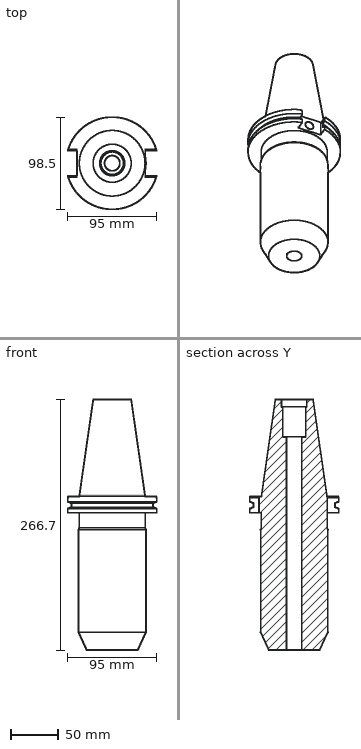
import cadquery as cq

total_height = 266.7
gauge_height = 165.0
flange_top = 163.5
flange_bottom = 146.0
neck_bottom = 130.0
body_top = 128.3
nose_height = 19.2

nose_radius = 27.2
body_radius = 36.0
neck_radius = 35.2
flange_diameter = 98.5
flange_radius = flange_diameter / 2
groove_radius = 45.3
taper_base_radius = 35.0
taper_tip_radius = 20.3

groove_middle = 154.2
groove_mouth = 7.2
groove_floor = 4.0

bore_radius = 8.0
thread_radius = 12.0
thread_depth = 40.0
pilot_radius = 13.3
pilot_depth = 8.0

slot_width = 26.1
slot_chamfer = 1.5
left_slot_distance = 37.5
right_slot_distance = 35.2

dimple_radius = 4.8
dimple_depth = 0.3


def turned_body():
    """Nose, body, neck, grooved flange and taper revolved about Z."""
    outline = [
        (0, 0),
        (nose_radius, 0),
        (body_radius, nose_height),
        (body_radius, body_top),
        (neck_radius, neck_bottom),
        (neck_radius, flange_bottom),
        (flange_radius, flange_bottom),
        (flange_radius, groove_middle - groove_mouth / 2),
        (groove_radius, groove_middle - groove_floor / 2),
        (groove_radius, groove_middle + groove_floor / 2),
        (flange_radius, groove_middle + groove_mouth / 2),
        (flange_radius, flange_top),
        (taper_base_radius, flange_top),
        (taper_base_radius, gauge_height),
        (taper_tip_radius, total_height),
        (0, total_height),
    ]
    return cq.Workplane("XZ").polyline(outline).close().revolve(360, (0, 0), (0, 1))


def bore_step(radius, depth):
    """Cylinder reaching down from the small end of the taper."""
    return cq.Workplane("XY").workplane(offset=total_height - depth).circle(radius).extrude(depth)


def drive_slot(side, distance):
    """Slot through the flange height with chamfered upper edges; side is -1 or 1."""
    half_width = slot_width / 2
    section = [
        (-half_width, flange_bottom),
        (half_width, flange_bottom),
        (half_width, flange_top - slot_chamfer),
        (half_width + slot_chamfer, flange_top),
        (-half_width - slot_chamfer, flange_top),
        (-half_width, flange_top - slot_chamfer),
    ]
    plane = cq.Workplane("YZ").workplane(offset=side * distance)
    return plane.polyline(section).close().extrude(side * flange_radius)


def dimple():
    """Shallow round recess in the left slot floor, level with the groove."""
    plane = cq.Workplane("YZ").workplane(offset=-left_slot_distance)
    return plane.center(0, groove_middle).circle(dimple_radius).extrude(dimple_depth)


result = turned_body()
result = result.cut(bore_step(bore_radius, total_height))
result = result.cut(bore_step(thread_radius, thread_depth))
result = result.cut(bore_step(pilot_radius, pilot_depth))
result = result.cut(drive_slot(-1, left_slot_distance))
result = result.cut(drive_slot(1, right_slot_distance))
result = result.cut(dimple())